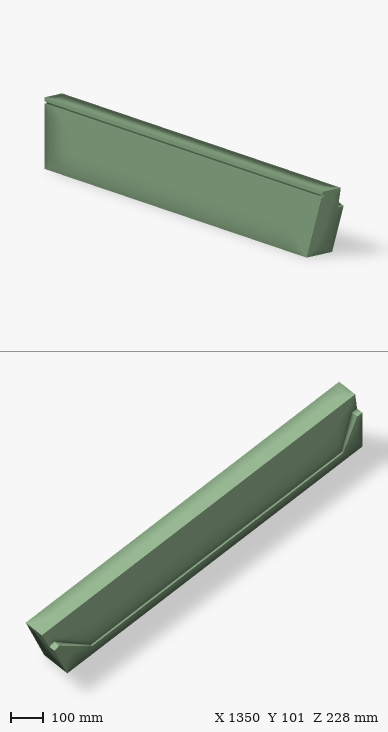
import cadquery as cq
import math

length = 1350
depth = 101.0
height = 228.0
bottom_length = 1270.0

top_depth = 70.0
ledge_height = 166.0
ledge_front = 78.0

groove_depth = 8.0
groove_top = 216
groove_bottom = 208.0

flange_height = 40
lug_width = 22.0
left_wall_run = 61.0
right_wall_run = 142.0

back_lean = (ledge_front - top_depth) / (height - ledge_height)
end_lean = (length - bottom_length) / height
end_angle = math.atan(end_lean)


def back_at(z):
    """Y of the leaning back wall at height z."""
    return top_depth + back_lean * (height - z)


def end_at(z):
    """X of the slanted right end at height z."""
    return bottom_length + end_lean * z


right_lug_drop = lug_width * math.sin(end_angle)
right_lug_outer = end_at(ledge_height - right_lug_drop)
right_lug_inner = right_lug_outer - lug_width * math.cos(end_angle)


def full_profile():
    """Stepped cross-section with the front groove, swept along X."""
    points = [
        (0, 0),
        (depth, 0),
        (depth, ledge_height),
        (ledge_front, ledge_height),
        (top_depth, height),
        (0, height),
        (0, groove_top),
        (groove_depth, groove_top),
        (groove_depth, groove_bottom),
        (0, groove_bottom),
    ]
    return cq.Workplane("YZ").polyline(points).close().extrude(length)


def slanted_outline():
    """Side outline that gives the right end its slant."""
    points = [(0, 0), (bottom_length, 0), (length, height), (0, height)]
    return cq.Workplane("XZ").polyline(points).close().extrude(-depth)


def back_recess():
    """Recess that continues the leaning wall down to the flange, with sloping side walls."""
    section = [
        (back_at(flange_height), flange_height),
        (depth, flange_height),
        (depth, ledge_height),
        (ledge_front, ledge_height),
    ]
    opening = [
        (lug_width + left_wall_run, flange_height),
        (right_lug_inner - right_wall_run, flange_height),
        (right_lug_inner, ledge_height),
        (lug_width, ledge_height),
    ]
    channel = cq.Workplane("YZ").polyline(section).close().extrude(length)
    walls = cq.Workplane("XZ").polyline(opening).close().extrude(-depth)
    return channel.intersect(walls)


def right_lug_slope():
    """Wedge that tilts the top of the right lug, behind the leaning wall."""
    wedge_points = [
        (right_lug_inner, ledge_height),
        (right_lug_outer, ledge_height - right_lug_drop),
        (end_at(ledge_height), ledge_height),
    ]
    lowest = ledge_height - right_lug_drop
    behind_wall = [
        (back_at(lowest), lowest),
        (depth, lowest),
        (depth, ledge_height),
        (ledge_front, ledge_height),
    ]
    wedge = cq.Workplane("XZ").polyline(wedge_points).close().extrude(-depth)
    return wedge.intersect(cq.Workplane("YZ").polyline(behind_wall).close().extrude(length))


beam = full_profile().intersect(slanted_outline())
result = beam.cut(back_recess()).cut(right_lug_slope())